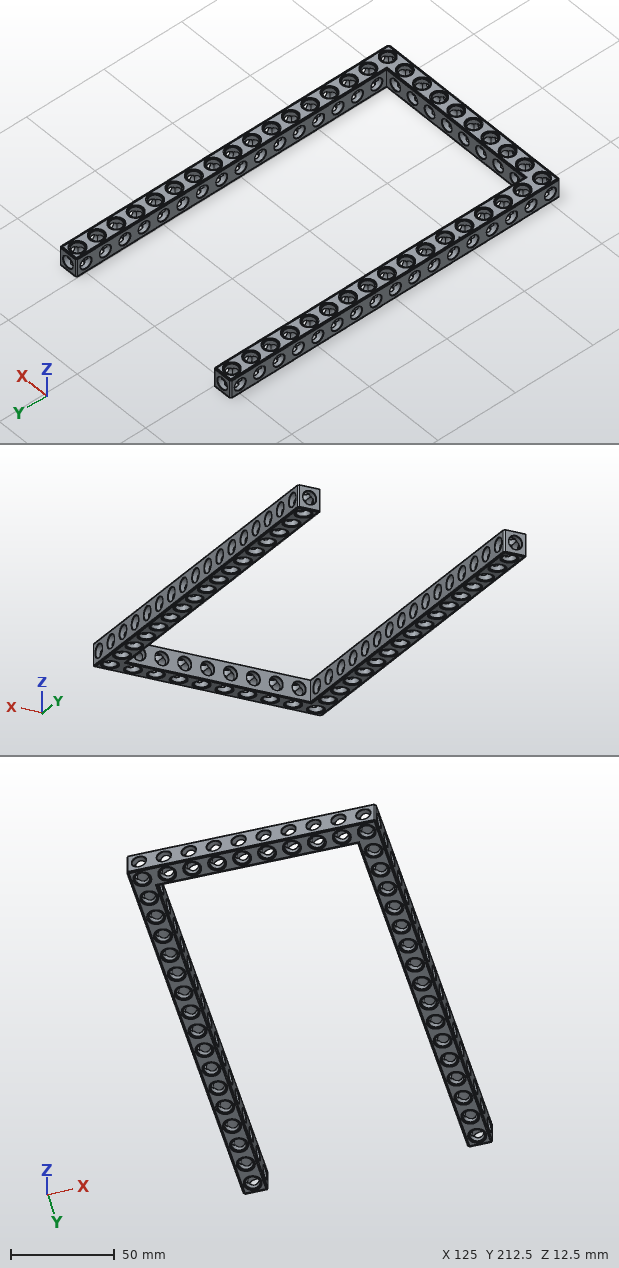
import cadquery as cq

length = 212.5
holes_along_leg = 17
holes_along_base = 10
hole_diameter = 7.0
rim_hole_diameter = 9.1
corner_bevel = 0.8
step_count = 2
step_height = 0.25
side_hole_bevel = 0.32

pitch = length / holes_along_leg
beam = pitch
width = holes_along_base * pitch
hole_radius = hole_diameter / 2
step_width = (rim_hole_diameter - hole_diameter) / 2 / step_count

column_x = [(i - (holes_along_base - 1) / 2) * pitch for i in range(holes_along_base)]
row_y = [(j - (holes_along_leg - 1) / 2) * pitch for j in range(holes_along_leg)]
base_holes = [(x, row_y[0]) for x in column_x]
leg_holes = [(x, y) for x in (column_x[0], column_x[-1]) for y in row_y[1:]]


def u_outline():
    """U-shaped outline, open toward +Y, with its convex corners bevelled."""
    outer_x = width / 2
    inner_x = outer_x - beam
    end_y = length / 2
    right_side = [
        (outer_x - corner_bevel, -end_y),
        (outer_x, -end_y + corner_bevel),
        (outer_x, end_y - corner_bevel),
        (outer_x - corner_bevel, end_y),
        (inner_x + corner_bevel, end_y),
        (inner_x, end_y - corner_bevel),
        (inner_x, -end_y + beam),
    ]
    left_side = [(-x, y) for x, y in reversed(right_side)]
    return cq.Workplane("XY").polyline(right_side + left_side).close()


def make_layer(inset, height):
    """U-shaped layer centred on Z = 0, set back by inset from the outer walls and the vertical holes."""
    outline = u_outline()
    if inset > 0:
        outline = outline.offset2D(-inset, "intersection")
    layer = outline.extrude(height / 2, both=True)
    holes = (
        cq.Workplane("XY")
        .pushPoints(base_holes + leg_holes)
        .circle(hole_radius + inset)
        .extrude(height, both=True)
    )
    return layer.cut(holes)


def make_frame():
    """Concentric layers stacked so that the top and bottom faces step in from every wall and hole."""
    frame = make_layer(step_count * step_width, beam)
    for step in range(step_count):
        steps_above = step_count - step
        frame = frame.union(make_layer(step * step_width, beam - 2 * steps_above * step_height))
    return frame


def side_drill(x, y, direction, span):
    """Cutter for one mid-height hole centred at (x, y), bevelled at both ends of its span."""
    mouth_radius = hole_radius + side_hole_bevel
    profile = [
        (0, 0),
        (mouth_radius, 0),
        (hole_radius, side_hole_bevel),
        (hole_radius, span - side_hole_bevel),
        (mouth_radius, span),
        (0, span),
    ]
    drill = cq.Workplane("XY").polyline(profile).close().revolve(360, (0, 0, 0), (0, 1, 0))
    drill = drill.translate((0, -span / 2, 0))
    if direction == "X":
        drill = drill.rotate((0, 0, 0), (0, 0, 1), 90)
    return drill.translate((x, y, 0))


def drill_side_holes(frame):
    """Cross holes through every beam, plus a hole along the full length of each beam."""
    for x in column_x[1:-1]:
        frame = frame.cut(side_drill(x, row_y[0], "Y", beam))
    for x in (column_x[0], column_x[-1]):
        frame = frame.cut(side_drill(x, 0, "Y", length))
        for y in row_y[1:]:
            frame = frame.cut(side_drill(x, y, "X", beam))
    return frame.cut(side_drill(0, row_y[0], "X", width))


result = drill_side_holes(make_frame())